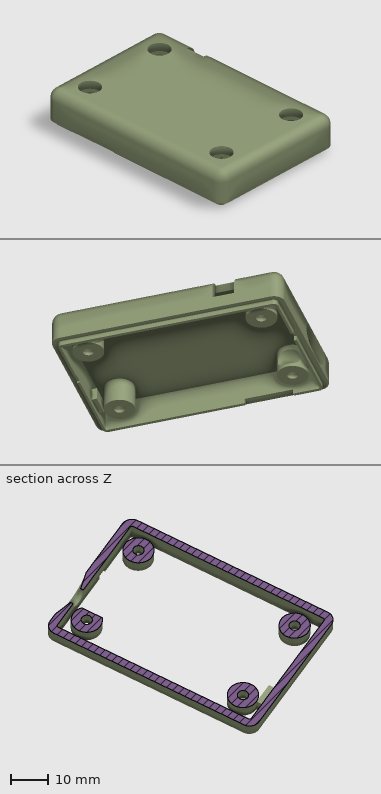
import cadquery as cq

LENGTH = 65.25
WIDTH = 43.75
HEIGHT = 11.0
EDGE_RADIUS = 3.0
WALL = 2.45
ROOF = 2.5

LIP_HEIGHT = 1.4
LIP_LENGTH = 61.75
LIP_WIDTH = 40.75
LIP_RADIUS = 1.3

SCREW_X = 24.35
SCREW_Y = 13.45
BOSS_DIAMETER = 8.5
SCREW_DIAMETER = 2.9
HEAD_DIAMETER = 6.5
HEAD_DEPTH = 2.5

PORT_Y = -8.1
PORT_Z = 4.65
PORT_DIAMETER = 5.21
FLARE_Z = 5.75
FLARE_WIDTH = 16.4
FLARE_HEIGHT = 8.2
FLARE_DEPTH = 1.5

NOTCH_X = -16.35
NOTCH_WIDTH = 6.1
NOTCH_FLOOR_Z = 5.0

FRONT_GAP_X = -15.7
FRONT_GAP_WIDTH = 13.65
SIDE_GAP_Y = 4.5
SIDE_GAP_WIDTH = 2.9
SHALLOW_GAP_HEIGHT = 0.5

REST_EDGE_Y = -7.05
REST_TOP_Z = 4.95
REST_THICKNESS = 1.5

SHELL_HEIGHT = HEIGHT - LIP_HEIGHT
CAVITY_LENGTH = LENGTH - 2 * WALL
CAVITY_WIDTH = WIDTH - 2 * WALL
CAVITY_TOP_Z = HEIGHT - ROOF
SCREW_POINTS = [(x, y) for x in (-SCREW_X, SCREW_X) for y in (-SCREW_Y, SCREW_Y)]


def box_between(x_range, y_range, z_range):
    """Axis-aligned box spanning three (low, high) ranges."""
    sizes = [high - low for low, high in (x_range, y_range, z_range)]
    corner = (x_range[0], y_range[0], z_range[0])
    return cq.Workplane("XY").box(*sizes, centered=False).translate(corner)


def span(center, width):
    """Low and high ends of a width laid out about its centre."""
    return (center - width / 2, center + width / 2)


def screw_cylinders(diameter, bottom_z, top_z):
    """Vertical cylinders at the four screw positions."""
    return (
        cq.Workplane("XY", origin=(0, 0, bottom_z))
        .pushPoints(SCREW_POINTS)
        .circle(diameter / 2)
        .extrude(top_z - bottom_z)
    )


def make_shell():
    """Rounded cover with its narrower lip, hollowed from below."""
    cover = (
        cq.Workplane("XY", origin=(0, 0, LIP_HEIGHT))
        .rect(LENGTH, WIDTH)
        .extrude(SHELL_HEIGHT)
        .edges("|Z or >Z")
        .fillet(EDGE_RADIUS)
    )
    lip = (
        cq.Workplane("XY")
        .rect(LIP_LENGTH, LIP_WIDTH)
        .extrude(LIP_HEIGHT)
        .edges("|Z")
        .fillet(LIP_RADIUS)
    )
    cavity = cq.Workplane("XY").rect(CAVITY_LENGTH, CAVITY_WIDTH).extrude(CAVITY_TOP_Z)
    cavity = cavity.edges("|Z").fillet(EDGE_RADIUS - WALL)
    return cover.union(lip).cut(cavity)


def make_rest():
    """Block on the +X wall beside the screw boss at (+X, -Y)."""
    wall_x = CAVITY_LENGTH / 2
    return box_between(
        (wall_x - REST_THICKNESS, wall_x + WALL / 2),
        (-SCREW_Y, REST_EDGE_Y),
        (LIP_HEIGHT, REST_TOP_Z),
    )


def make_port():
    """Cutter for the bore and flare, running inward past the nearest boss."""
    outer_x = -LENGTH / 2
    bore_length = LENGTH / 2 - SCREW_X + BOSS_DIAMETER / 2
    bore = (
        cq.Workplane("YZ", origin=(outer_x, PORT_Y, PORT_Z))
        .circle(PORT_DIAMETER / 2)
        .extrude(bore_length)
    )
    flare = (
        cq.Workplane("YZ", origin=(outer_x, PORT_Y, FLARE_Z))
        .ellipse(FLARE_WIDTH / 2, FLARE_HEIGHT / 2)
        .workplane(offset=FLARE_DEPTH)
        .center(0, PORT_Z - FLARE_Z)
        .circle(PORT_DIAMETER / 2)
        .loft(ruled=True)
    )
    return bore.union(flare)


def make_notch():
    """Cutter for the notch in the +Y wall, as deep as the roof rounding."""
    return box_between(
        span(NOTCH_X, NOTCH_WIDTH),
        (WIDTH / 2 - EDGE_RADIUS, WIDTH / 2),
        (NOTCH_FLOOR_Z, HEIGHT),
    )


def make_lip_gaps():
    """Cutters for the gaps in the -Y, -X and +X runs of the lip."""
    side_y = span(SIDE_GAP_Y, SIDE_GAP_WIDTH)
    front = box_between(
        span(FRONT_GAP_X, FRONT_GAP_WIDTH), (-WIDTH / 2, -CAVITY_WIDTH / 2), (0, LIP_HEIGHT)
    )
    left = box_between((-LENGTH / 2, -CAVITY_LENGTH / 2), side_y, (0, LIP_HEIGHT))
    right = box_between((CAVITY_LENGTH / 2, LENGTH / 2), side_y, (0, SHALLOW_GAP_HEIGHT))
    return front.union(left).union(right)


bosses = screw_cylinders(BOSS_DIAMETER, LIP_HEIGHT, CAVITY_TOP_Z)
screw_holes = screw_cylinders(SCREW_DIAMETER, 0, HEIGHT)
head_recesses = screw_cylinders(HEAD_DIAMETER, HEIGHT - HEAD_DEPTH, HEIGHT)

result = (
    make_shell()
    .union(bosses)
    .union(make_rest())
    .cut(screw_holes)
    .cut(head_recesses)
    .cut(make_port())
    .cut(make_notch())
    .cut(make_lip_gaps())
)